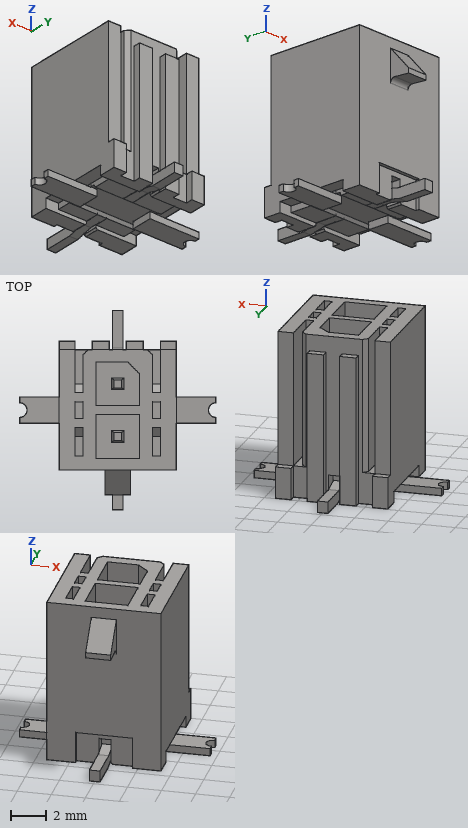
import cadquery as cq

BODY_WIDTH = 6.7
BODY_FRONT = 3.43
BODY_REAR = 3.45
BODY_HEIGHT = 9.9
FOOT_HEIGHT = 1.89

CONTACT_Y = 1.5
PIN_WIDTH = 0.7
PIN_DEPTH = 0.66
PIN_TOP = 7.41
TIP_SIZE = 0.46
TIP_LENGTH = 0.51
LEAD_REACH = 5.7
LEAD_WIDTH = 0.63
LEAD_THICKNESS = 0.7
LEAD_BEND = 3.53
LEAD_LOWER_BEND = 3.72
LEAD_SHELF = 2.55

CAVITY_SIZE = 2.51
CAVITY_FLOOR = 2.85
KEY_CHAMFER = 0.7

GROOVE_HEIGHT = 1.54
GROOVE_CHAMFER = 0.11

SLOT_INNER = 1.97
SLOT_OUTER = 2.43
SLOT_NEAR_END = 1.0
SLOT_RAMP = 0.5
FRONT_SLOT_END = 2.61
MIDDLE_SLOT_LENGTH = 0.95
SLOT_MOUTH_CHAMFER = 0.28

REAR_FOOT_START = 2.72
FRONT_FOOT_START = 2.13
UNDERSIDE_GAP = 0.27
SIDE_NOTCH_HEIGHT = 0.68
CHANNEL_HEIGHT = 0.48
CHANNEL_HALF_WIDTH = 1.01
CHANNEL_FLARE = 0.15

RECESS_WIDTH = 3.34
RECESS_DEPTH = 0.25
REAR_REACH = 3.95
RIB_INNER = 0.48
RIB_OUTER = 1.46
RIB_HEIGHT = 8.91

LATCH_WIDTH = 1.47
LATCH_REACH = 1.4
LATCH_TOP = 9.23
LATCH_TIP_TOP = 7.64
LATCH_TIP_BOTTOM = 7.31
LATCH_ROOT_RADIUS = 0.31
LATCH_ROOT_BOTTOM = 7.08

NAIL_SPAN = 11.2
NAIL_WIDTH = 1.52
NAIL_THICKNESS = 0.46
NAIL_NOTCH_RADIUS = 0.41

BODY_SIDE = BODY_WIDTH / 2
PIN_OUTER = CONTACT_Y + PIN_DEPTH / 2
PIN_INNER = CONTACT_Y - PIN_DEPTH / 2
LEAD_SHELF_TOP = UNDERSIDE_GAP + PIN_DEPTH
SIDES = (1, -1)


def block(x0, x1, y0, y1, z0, z1):
    """Box between two opposite corners, given in any order."""
    return (
        cq.Workplane("XY")
        .box(abs(x1 - x0), abs(y1 - y0), abs(z1 - z0))
        .translate(((x0 + x1) / 2, (y0 + y1) / 2, (z0 + z1) / 2))
    )


def extrude_along_x(profile, width):
    """Extrude a closed Y-Z profile by width, centred on X = 0."""
    return profile.extrude(width / 2, both=True)


def turn_for_side(shape, side):
    """Leave the shape on its own side, or turn it half a turn about Z for side -1."""
    return shape if side > 0 else shape.rotate((0, 0, 0), (0, 0, 1), 180)


def make_contact():
    """Upright pin with a tapered tip and a lead that runs out towards +Y."""
    pin = block(
        -PIN_WIDTH / 2, PIN_WIDTH / 2, PIN_INNER, PIN_OUTER, UNDERSIDE_GAP, PIN_TOP - TIP_LENGTH
    )
    tip = (
        cq.Workplane("XY", origin=(0, CONTACT_Y, PIN_TOP - TIP_LENGTH))
        .rect(PIN_WIDTH, PIN_DEPTH)
        .workplane(offset=TIP_LENGTH)
        .rect(TIP_SIZE, TIP_SIZE)
        .loft(ruled=True)
    )
    lead_profile = (
        cq.Workplane("YZ")
        .moveTo(LEAD_REACH, 0)
        .lineTo(LEAD_REACH, LEAD_THICKNESS)
        .lineTo(LEAD_BEND, LEAD_THICKNESS)
        .lineTo(LEAD_SHELF, LEAD_SHELF_TOP)
        .lineTo(PIN_OUTER, LEAD_SHELF_TOP)
        .lineTo(PIN_OUTER, UNDERSIDE_GAP)
        .lineTo(LEAD_SHELF, UNDERSIDE_GAP)
        .lineTo(LEAD_LOWER_BEND, 0)
        .close()
    )
    return pin.union(tip).union(extrude_along_x(lead_profile, LEAD_WIDTH))


def make_nail():
    """Angle-shaped nail on the +X side: a notched solder tab and an upright in the body."""
    nail_end = NAIL_SPAN / 2
    half_width = NAIL_WIDTH / 2
    tab = block(SLOT_INNER, nail_end, -half_width, half_width, 0, NAIL_THICKNESS)
    upright = block(SLOT_INNER, SLOT_OUTER, -half_width, half_width, 0, FOOT_HEIGHT)
    end_notch = (
        cq.Workplane("XY")
        .center(nail_end, 0)
        .circle(NAIL_NOTCH_RADIUS)
        .extrude(NAIL_THICKNESS)
    )
    return tab.union(upright).cut(end_notch)


def make_latch():
    """Wedge on the front face with a rounded root under its catch."""
    root = -BODY_FRONT
    tip = root - LATCH_REACH
    radius = LATCH_ROOT_RADIUS
    profile = (
        cq.Workplane("YZ")
        .moveTo(root, LATCH_TOP)
        .lineTo(tip, LATCH_TIP_TOP)
        .lineTo(tip, LATCH_TIP_BOTTOM)
        .lineTo(root - radius, LATCH_ROOT_BOTTOM + radius)
        .radiusArc((root, LATCH_ROOT_BOTTOM), radius)
        .close()
    )
    return extrude_along_x(profile, LATCH_WIDTH)


def make_rear_rib(side):
    return block(side * RIB_INNER, side * RIB_OUTER, BODY_REAR, REAR_REACH, 0, RIB_HEIGHT)


def make_rear_foot(side):
    return block(side * SLOT_OUTER, side * BODY_SIDE, BODY_REAR, REAR_REACH, 0, FOOT_HEIGHT)


def make_cavities():
    """Two square cavities; the rear one has a keyed corner."""
    half = CAVITY_SIZE / 2
    front, rear = (
        block(-half, half, y - half, y + half, CAVITY_FLOOR, BODY_HEIGHT)
        for y in (-CONTACT_Y, CONTACT_Y)
    )
    return front.union(rear.edges("|Z and >X and >Y").chamfer(KEY_CHAMFER))


def make_contact_passage():
    """Pin hole and lead groove for the contact on the +Y side."""
    half_width = PIN_WIDTH / 2
    mouth = half_width + GROOVE_CHAMFER
    hole = block(-half_width, half_width, PIN_INNER, PIN_OUTER, 0, CAVITY_FLOOR)
    inner_groove = block(-half_width, half_width, PIN_INNER, LEAD_SHELF, 0, LEAD_SHELF_TOP)
    outer_groove = block(-half_width, half_width, LEAD_SHELF, REAR_REACH, 0, GROOVE_HEIGHT)
    flare = (
        cq.Workplane("XZ", origin=(0, REAR_REACH, 0))
        .polyline([
            (-mouth, 0),
            (mouth, 0),
            (half_width, GROOVE_CHAMFER),
            (-half_width, GROOVE_CHAMFER),
        ])
        .close()
        .extrude(REAR_REACH - PIN_INNER)
    )
    return hole.union(inner_groove).union(outer_groove).union(flare)


def make_end_slot(y_end):
    """Slot on the +X side, with a ramp at its inner end, running out to y_end on the +Y side."""
    ramp_end = SLOT_NEAR_END + SLOT_RAMP
    profile = (
        cq.Workplane("YZ", origin=(SLOT_INNER, 0, 0))
        .moveTo(SLOT_NEAR_END, BODY_HEIGHT)
        .lineTo(SLOT_NEAR_END, FOOT_HEIGHT + SLOT_RAMP)
        .lineTo(ramp_end, FOOT_HEIGHT)
        .lineTo(y_end, FOOT_HEIGHT)
        .lineTo(y_end, BODY_HEIGHT)
        .close()
    )
    return profile.extrude(SLOT_OUTER - SLOT_INNER)


def make_slot_mouth():
    """Bevel of the cavity block where the rear slot leaves the body."""
    size = SLOT_MOUTH_CHAMFER
    return (
        cq.Workplane("XY", origin=(0, 0, FOOT_HEIGHT))
        .polyline([
            (SLOT_INNER, BODY_REAR),
            (SLOT_INNER, BODY_REAR - size),
            (SLOT_INNER - size, BODY_REAR),
        ])
        .close()
        .extrude(BODY_HEIGHT - FOOT_HEIGHT)
    )


def make_side_slots():
    """Front, middle and rear slots of the +X side with the pocket for the nail upright."""
    half_middle = MIDDLE_SLOT_LENGTH / 2
    half_nail = NAIL_WIDTH / 2
    rear = make_end_slot(BODY_REAR).union(make_slot_mouth())
    front = make_end_slot(FRONT_SLOT_END).mirror("XZ")
    middle = block(SLOT_INNER, SLOT_OUTER, -half_middle, half_middle, FOOT_HEIGHT, BODY_HEIGHT)
    pocket = block(SLOT_INNER, SLOT_OUTER, -half_nail, half_nail, 0, FOOT_HEIGHT)
    return rear.union(front).union(middle).union(pocket)


def make_underside():
    """Clearance between the feet, the cross channel and the notch in each side wall."""
    gap = block(-BODY_SIDE, BODY_SIDE, -FRONT_FOOT_START, REAR_FOOT_START, 0, UNDERSIDE_GAP)
    mouth = CHANNEL_HALF_WIDTH + CHANNEL_FLARE
    channel_profile = (
        cq.Workplane("YZ")
        .polyline([
            (-mouth, UNDERSIDE_GAP),
            (mouth, UNDERSIDE_GAP),
            (CHANNEL_HALF_WIDTH, CHANNEL_HEIGHT),
            (-CHANNEL_HALF_WIDTH, CHANNEL_HEIGHT),
        ])
        .close()
    )
    cutter = gap.union(extrude_along_x(channel_profile, BODY_WIDTH))
    for side in SIDES:
        side_notch = block(
            side * SLOT_OUTER, side * BODY_SIDE, -FRONT_FOOT_START, REAR_FOOT_START, 0, SIDE_NOTCH_HEIGHT
        )
        cutter = cutter.union(side_notch)
    return cutter


def make_front_recess():
    half = RECESS_WIDTH / 2
    return block(-half, half, -BODY_FRONT, RECESS_DEPTH - BODY_FRONT, 0, FOOT_HEIGHT)


def make_housing():
    body = block(-BODY_SIDE, BODY_SIDE, -BODY_FRONT, BODY_REAR, 0, BODY_HEIGHT)
    body = body.union(make_latch())
    for side in SIDES:
        body = body.union(make_rear_rib(side)).union(make_rear_foot(side))
    body = body.cut(make_cavities()).cut(make_underside()).cut(make_front_recess())
    side_slots = make_side_slots()
    for side in SIDES:
        body = body.cut(turn_for_side(make_contact_passage(), side))
        body = body.cut(side_slots if side > 0 else side_slots.mirror("YZ"))
    return body


housing = make_housing()
contacts = [turn_for_side(make_contact(), side) for side in SIDES]
nails = [turn_for_side(make_nail(), side) for side in SIDES]

result = cq.Compound.makeCompound([
    housing.solids().val(),
    *[contact.solids().val() for contact in contacts],
    *[nail.solids().val() for nail in nails],
])